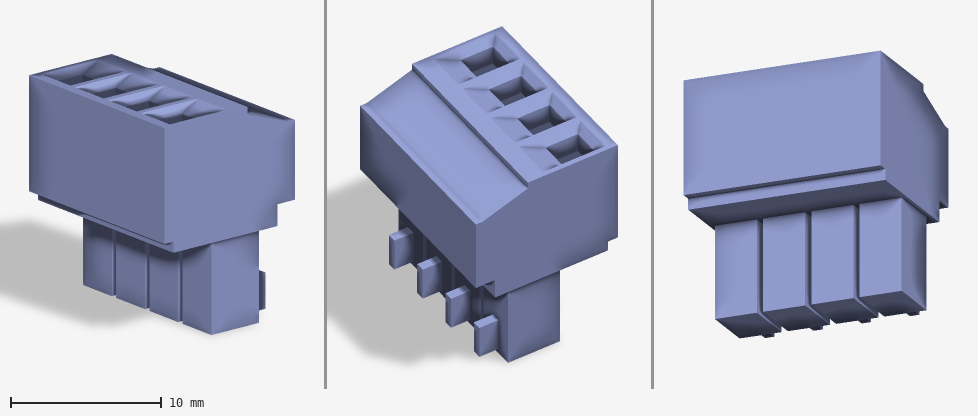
import cadquery as cq


width = 14.3
depth = 11.18
height = 15.49

pole_count = 4
pitch = 3.5
pole_width = 3.05

body_bottom = 6.6
front_step_depth = 0.77
front_step_height = 0.77
rear_step_depth = 1.52
rear_step_height = 1.53
top_depth = 7.1
ridge_drop = 0.51
rear_ledge_depth = 0.53
rear_ledge_drop = 1.78

mouth_front = 0.77
mouth_length = 4.86
mouth_inset = 0.53
mouth_rear_inset = 1.78
mouth_depth = 0.54
well_depth = 1.49

leg_front = 4.32
leg_depth = 4.09
key_width = 0.68
key_projection = 1.5
key_bottom = 0.35
key_height = 2.54

pole_centres = [(i - (pole_count - 1) / 2) * pitch for i in range(pole_count)]


def box_from(x_centre, y_front, z_bottom, size_x, size_y, size_z):
    """Box centred on x_centre, standing behind y_front and above z_bottom."""
    box = cq.Workplane("XY").box(size_x, size_y, size_z, centered=(True, False, False))
    return box.translate((x_centre, y_front, z_bottom))


def rectangle_wire(x_min, x_max, y_min, y_max, z):
    """Closed horizontal rectangle at height z."""
    corners = [(x_min, y_min, z), (x_max, y_min, z), (x_max, y_max, z), (x_min, y_max, z)]
    return cq.Wire.makePolygon([cq.Vector(*corner) for corner in corners], close=True)


def make_housing():
    """Stepped housing with a sloping rear top, extruded along X."""
    profile = [
        (0, body_bottom + front_step_height),
        (front_step_depth, body_bottom + front_step_height),
        (front_step_depth, body_bottom),
        (depth - rear_step_depth, body_bottom),
        (depth - rear_step_depth, body_bottom + rear_step_height),
        (depth, body_bottom + rear_step_height),
        (depth, height - rear_ledge_drop),
        (depth - rear_ledge_depth, height - rear_ledge_drop),
        (top_depth, height - ridge_drop),
        (top_depth, height),
        (0, height),
    ]
    return cq.Workplane("YZ").polyline(profile).close().extrude(width / 2, both=True)


def make_pocket(x_centre):
    """Cutter for one screw pocket."""
    mouth_half = pole_width / 2
    well_half = mouth_half - mouth_inset
    well_front = mouth_front + mouth_inset
    well_length = mouth_length - mouth_inset - mouth_rear_inset
    well_top = height - mouth_depth

    mouth_rim = rectangle_wire(
        x_centre - mouth_half, x_centre + mouth_half, mouth_front, mouth_front + mouth_length, height
    )
    well_rim = rectangle_wire(
        x_centre - well_half, x_centre + well_half, well_front, well_front + well_length, well_top
    )
    mouth = cq.Workplane(cq.Solid.makeLoft([well_rim, mouth_rim], True))
    well = box_from(x_centre, well_front, well_top - well_depth, 2 * well_half, well_length, well_depth)
    return mouth.union(well)


def make_leg(x_centre):
    """One contact leg with its key."""
    leg = box_from(x_centre, leg_front, 0, pole_width, leg_depth, body_bottom)
    key = box_from(x_centre, leg_front + leg_depth, key_bottom, key_width, key_projection, key_height)
    return leg.union(key)


result = make_housing()
for pole_x in pole_centres:
    result = result.cut(make_pocket(pole_x)).union(make_leg(pole_x))